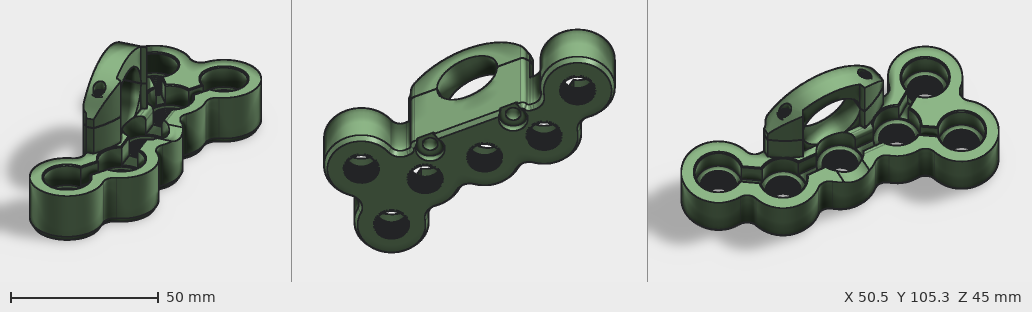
import cadquery as cq
import math

lobe_pitch = 22.0
branch_angle = math.radians(35)
lobe_radius = 12.65
lobe_blend_radius = 4.0
plate_height = 18.0
bottom_chamfer_height = 2.0
bottom_chamfer_inset = 1.15

branch_x = lobe_pitch * math.sin(branch_angle)
branch_y = lobe_pitch * math.cos(branch_angle)
outer_lobe_y = lobe_pitch + branch_y

upper_left_lobe = (-branch_x, outer_lobe_y)
upper_right_lobe = (branch_x, outer_lobe_y)
upper_lobe = (0.0, lobe_pitch)
centre_lobe = (0.0, 0.0)
lower_lobe = (0.0, -lobe_pitch)
lower_left_lobe = (-branch_x, -outer_lobe_y)
outer_lobes = [upper_left_lobe, upper_right_lobe, upper_lobe, lower_lobe, lower_left_lobe]
all_lobes = outer_lobes + [centre_lobe]

lobe_thread_minor_diameter = 11.28
lobe_thread_major_diameter = 12.12
thread_pitch = 0.8
counterbore_diameter = 16.0
counterbore_floor = 10.0
rim_chamfer = 0.42
channel_floor = 10.7
wide_channel_width = 5.8
narrow_channel_width = 3.35
narrow_channel_offset = (wide_channel_width - narrow_channel_width) / 2
channel_chamfer = 0.35
channel_round = 1.85

bore_diameter = 22.3
bore_height = 28.0
block_left = -14.65
block_flat_front = -6.1
block_half_length = 22.4
block_corner_radius = 2.0
block_root_radius = 1.0
block_side_front = -10.0
wing_arc_radius = 36.0
block_top = 45.0
block_side_top = 31.4
cap_gap = 0.2
cap_bottom = bore_height + cap_gap / 2
lower_block_top = bore_height - cap_gap / 2

screw_x = -10.7
screw_y = 15.35
screw_thread_minor_diameter = 4.23
screw_thread_major_diameter = 5.1
screw_thread_top = 37.7
screw_clearance_diameter = 5.12
screw_head_diameter = 9.8
screw_head_depth = 3.0

root_angle = math.asin((block_half_length - lobe_pitch) / lobe_radius)
plate_left = -lobe_radius * math.cos(root_angle)
root_centre_x = -(lobe_radius + block_root_radius) * math.cos(root_angle)
root_centre_y = lobe_pitch + (lobe_radius + block_root_radius) * math.sin(root_angle)
corner_centre_x = block_left + block_corner_radius
corner_to_root = block_corner_radius + block_root_radius
corner_centre_y = root_centre_y - math.sqrt(corner_to_root**2 - (root_centre_x - corner_centre_x) ** 2)
corner_join_angle = math.atan2(root_centre_y - corner_centre_y, root_centre_x - corner_centre_x)


def point_on_circle(centre, radius, angle):
    return (centre[0] + radius * math.cos(angle), centre[1] + radius * math.sin(angle))


def angle_between(start, end):
    return math.atan2(end[1] - start[1], end[0] - start[0])


def block_left_edge(sketch):
    """Continue a sketch from (plate_left, -block_half_length) up to (plate_left, block_half_length)."""
    corner = (corner_centre_x, corner_centre_y)
    root = (root_centre_x, root_centre_y)
    join = point_on_circle(corner, block_corner_radius, corner_join_angle)
    root_middle = point_on_circle(root, block_root_radius, (corner_join_angle - math.pi - root_angle) / 2)
    corner_middle = point_on_circle(corner, block_corner_radius, (corner_join_angle + math.pi) / 2)
    sketch = sketch.threePointArc((root_middle[0], -root_middle[1]), (join[0], -join[1]))
    sketch = sketch.threePointArc((corner_middle[0], -corner_middle[1]), (block_left, -corner_centre_y))
    sketch = sketch.lineTo(block_left, corner_centre_y)
    sketch = sketch.threePointArc(corner_middle, join)
    return sketch.threePointArc(root_middle, (plate_left, block_half_length))


def blend_centre(lobe, next_lobe):
    """Centre of the blend arc on the outer side of two lobes that follow each other clockwise."""
    half_span = math.dist(lobe, next_lobe) / 2
    offset = math.sqrt((lobe_radius + lobe_blend_radius) ** 2 - half_span**2)
    middle = ((lobe[0] + next_lobe[0]) / 2, (lobe[1] + next_lobe[1]) / 2)
    return point_on_circle(middle, offset, angle_between(lobe, next_lobe) + math.pi / 2)


def blend_points(lobe, next_lobe):
    """Start, middle and end of the blend arc between two lobes."""
    centre = blend_centre(lobe, next_lobe)
    middle = ((lobe[0] + next_lobe[0]) / 2, (lobe[1] + next_lobe[1]) / 2)
    return (
        point_on_circle(lobe, lobe_radius, angle_between(lobe, centre)),
        point_on_circle(centre, lobe_blend_radius, angle_between(centre, middle)),
        point_on_circle(next_lobe, lobe_radius, angle_between(next_lobe, centre)),
    )


def arc_around_lobe(sketch, lobe, start, end):
    """Clockwise arc around a lobe."""
    start_angle = angle_between(lobe, start)
    sweep = (start_angle - angle_between(lobe, end)) % (2 * math.pi)
    return sketch.threePointArc(point_on_circle(lobe, lobe_radius, start_angle - sweep / 2), end)


def plate_outline():
    """Clockwise outline, starting where the upper lobe meets the block."""
    start = (plate_left, block_half_length)
    end = (plate_left, -block_half_length)
    sketch = cq.Workplane("XY").moveTo(*start)
    path = [upper_lobe, upper_left_lobe, upper_right_lobe, upper_lobe, centre_lobe, lower_lobe,
            lower_left_lobe, lower_lobe]
    arc_start = start
    for lobe, next_lobe in zip(path, path[1:]):
        blend_start, blend_middle, blend_end = blend_points(lobe, next_lobe)
        sketch = arc_around_lobe(sketch, lobe, arc_start, blend_start)
        sketch = sketch.threePointArc(blend_middle, blend_end)
        arc_start = blend_end
    sketch = arc_around_lobe(sketch, lower_lobe, arc_start, end)
    return block_left_edge(sketch).close()


def make_plate():
    plate = plate_outline().extrude(plate_height)
    return plate.faces("<Z").edges().chamfer(bottom_chamfer_height, bottom_chamfer_inset)


def upright(bottom, top):
    """Block plan between two heights, cut to the domed side outline, without the bearing bore."""
    wing_centre_x = block_side_front - math.sqrt(wing_arc_radius**2 - block_half_length**2)
    sketch = cq.Workplane("XY", origin=(0, 0, bottom)).moveTo(plate_left, -block_half_length)
    sketch = block_left_edge(sketch).lineTo(block_side_front, block_half_length)
    wing_apex = (wing_centre_x + wing_arc_radius, 0)
    sketch = sketch.threePointArc(wing_apex, (block_side_front, -block_half_length))
    body = sketch.close().extrude(top - bottom)

    room_size = 2 * lobe_radius
    lobe_disc = cq.Workplane("XY", origin=(0, 0, plate_height)).circle(lobe_radius).extrude(block_top)
    front_side = (
        cq.Workplane("XY", origin=(block_flat_front + room_size / 2, 0, plate_height))
        .rect(room_size, room_size)
        .extrude(block_top)
    )
    head_room = lobe_disc.intersect(front_side)
    dome = (
        cq.Workplane("YZ")
        .workplane(offset=block_left)
        .moveTo(-block_half_length, 0)
        .lineTo(-block_half_length, block_side_top)
        .threePointArc((0, block_top), (block_half_length, block_side_top))
        .lineTo(block_half_length, 0)
        .close()
        .extrude(-2 * block_left)
    )
    return body.cut(head_room).intersect(dome)


def bearing_bore():
    length = 4 * lobe_radius
    return (
        cq.Workplane("YZ", origin=(-length / 2, 0, bore_height)).circle(bore_diameter / 2).extrude(length)
    )


def thread_cutter(minor_diameter, major_diameter, bottom, top):
    """Hole with one V groove per pitch, starting at full width at the top."""
    inner = minor_diameter / 2
    outer = major_diameter / 2
    turns = math.ceil((top - bottom) / thread_pitch) - 1
    profile = cq.Workplane("XZ").moveTo(0, top).lineTo(outer, top)
    for turn in range(turns):
        crest = top - (turn + 0.5) * thread_pitch
        profile = profile.lineTo(inner, crest)
        profile = profile.lineTo(outer, crest - thread_pitch / 2)
    profile = profile.lineTo(inner, bottom).lineTo(0, bottom).close()
    return profile.revolve(360, (0, 0, 0), (0, 1, 0))


def counterbore():
    return (
        cq.Workplane("XY", origin=(0, 0, counterbore_floor))
        .circle(counterbore_diameter / 2)
        .extrude(plate_height - counterbore_floor)
    )


def rim_cutter():
    """Cone that breaks the top edge of a counterbore."""
    radius = counterbore_diameter / 2
    cone = cq.Solid.makeCone(radius, radius + rim_chamfer, rim_chamfer)
    return cq.Workplane(cone.translate(cq.Vector(0, 0, plate_height - rim_chamfer)))


def place_channel(profile, start, end, offset=0.0):
    """Extrude half a section, mirror it, and lay it between lobe centres, shifted right by the offset."""
    half = profile.close().extrude(-math.dist(start, end))
    turn = math.degrees(angle_between(start, end)) - 90
    channel = half.union(half.mirror("YZ"))
    channel = channel.translate((offset, 0, 0))
    return channel.rotate((0, 0, 0), (0, 0, 1), turn).translate((start[0], start[1], 0))


def chamfered_channel(start, end, width, offset=0.0):
    half_width = width / 2
    profile = (
        cq.Workplane("XZ")
        .moveTo(0, channel_floor)
        .lineTo(half_width, channel_floor)
        .lineTo(half_width, plate_height - channel_chamfer)
        .lineTo(half_width + channel_chamfer, plate_height)
        .lineTo(0, plate_height)
    )
    return place_channel(profile, start, end, offset)


def rounded_channel(start, end, width):
    half_width = width / 2
    arc_middle = point_on_circle(
        (half_width + channel_round, plate_height - channel_round), channel_round, math.radians(135)
    )
    profile = (
        cq.Workplane("XZ")
        .moveTo(0, channel_floor)
        .lineTo(half_width, channel_floor)
        .lineTo(half_width, plate_height - channel_round)
        .threePointArc(arc_middle, (half_width + channel_round, plate_height))
        .lineTo(0, plate_height)
    )
    return place_channel(profile, start, end)


def cut_lobe_holes(body):
    thread = thread_cutter(lobe_thread_minor_diameter, lobe_thread_major_diameter, 0, counterbore_floor)
    for x, y in all_lobes:
        body = body.cut(counterbore().translate((x, y, 0)))
        body = body.cut(thread.translate((x, y, 0)))
    for x, y in outer_lobes:
        body = body.cut(rim_cutter().translate((x, y, 0)))
    return body


def cut_channels(body):
    offsets = ((upper_left_lobe, narrow_channel_offset), (upper_right_lobe, -narrow_channel_offset))
    for lobe, offset in offsets:
        body = body.cut(chamfered_channel(lobe, upper_lobe, narrow_channel_width, offset))
    body = body.cut(chamfered_channel(lower_lobe, centre_lobe, wide_channel_width))
    body = body.cut(chamfered_channel(lower_left_lobe, lower_lobe, wide_channel_width))
    return body.cut(rounded_channel(centre_lobe, upper_lobe, wide_channel_width))


def cut_screw_clearance(body):
    """Clearance holes through the lower block with head recesses underneath."""
    places = [(screw_x, -screw_y), (screw_x, screw_y)]
    holes = cq.Workplane("XY").pushPoints(places).circle(screw_clearance_diameter / 2).extrude(block_top)
    heads = cq.Workplane("XY").pushPoints(places).circle(screw_head_diameter / 2).extrude(screw_head_depth)
    return body.cut(holes).cut(heads)


def make_base():
    plate = cut_lobe_holes(cut_channels(make_plate()))
    base = plate.union(upright(plate_height, lower_block_top))
    return cut_screw_clearance(base.cut(bearing_bore()))


def make_cap():
    cap = upright(cap_bottom, block_top).cut(bearing_bore())
    thread = thread_cutter(
        screw_thread_minor_diameter, screw_thread_major_diameter, cap_bottom, screw_thread_top
    )
    entry = (
        cq.Workplane("XY", origin=(0, 0, screw_thread_top))
        .circle(screw_thread_minor_diameter / 2)
        .extrude(block_top - screw_thread_top)
    )
    for y in (-screw_y, screw_y):
        cap = cap.cut(thread.translate((screw_x, y, 0))).cut(entry.translate((screw_x, y, 0)))
    return cap


base = make_base()
cap = make_cap()

result = cq.Compound.makeCompound([base.val(), cap.val()])